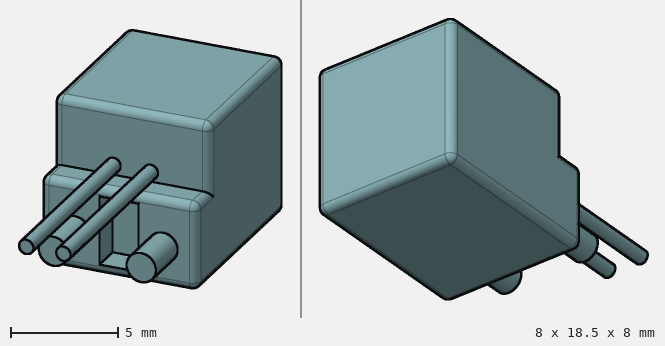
import cadquery as cq

total_length = 18.5
body_size = 8.0
lead_length = 10.0
upper_depth = total_length - lead_length
step_depth = 1.5
step_height = 4.5
edge_radius = 0.4

recess_width = 2.0
recess_height = 3.5
recess_bottom = 0.5
recess_depth = step_depth

peg_diameter = 1.5
peg_length = 2.5
peg_spacing = 4.5
peg_height = 2.0

lead_diameter = 0.74
lead_spacing = 1.9
lead_height = 5.0

back_y = total_length / 2
upper_front_y = back_y - upper_depth
step_front_y = upper_front_y - step_depth


def block(front_y, height):
    """Block of full body width from front_y to the back face."""
    return cq.Workplane("XY").box(
        body_size, back_y - front_y, height, centered=(True, False, False)
    ).translate((0, front_y, 0))


def rounded_body():
    """Stepped body with every edge rounded except the sharp inner corner of the step."""
    body = block(upper_front_y, body_size).union(block(step_front_y, step_height))
    inner_corner = cq.selectors.NearestToPointSelector((0, upper_front_y, step_height))
    return body.edges(cq.selectors.InverseSelector(inner_corner)).fillet(edge_radius)


def recess():
    """Rectangular pocket volume in the front of the step."""
    return cq.Workplane("XY").box(
        recess_width, recess_depth, recess_height, centered=(True, False, False)
    ).translate((0, step_front_y, recess_bottom))


def rod_pair(diameter, length, spacing, height, front_y):
    """Two round rods starting at front_y and pointing toward -Y."""
    return (
        cq.Workplane("XZ", origin=(0, front_y, height))
        .pushPoints([(-spacing / 2, 0), (spacing / 2, 0)])
        .circle(diameter / 2)
        .extrude(length)
    )


pegs = rod_pair(peg_diameter, peg_length, peg_spacing, peg_height, step_front_y)
leads = rod_pair(lead_diameter, lead_length, lead_spacing, lead_height, upper_front_y)

result = rounded_body().cut(recess()).union(pegs).union(leads)